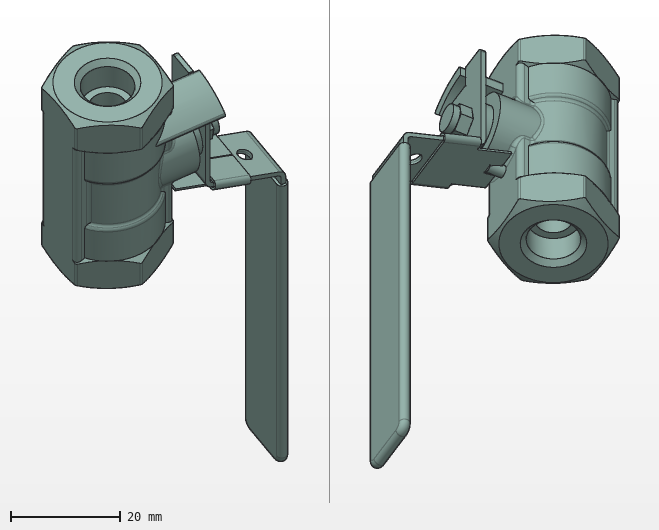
import cadquery as cq
import math

OVERALL_LENGTH = 115
TOLERANCE = 0.001

BODY_LENGTH = 44.2
ACROSS_FLATS = 21.0
HEX_EDGE_RADIUS = 0.6
HEX_TURN = 30
HEX_FACE_DIA = 20.0
HEX_LENGTH = 7.7
HEX_CHAMFER_ANGLE = 30
BARREL_DIA = 21.3
WAIST_DIA = 19.9
WAIST_HALF_LENGTH = 5.2
SHOULDER_LENGTH = 1.4
WEB_WIDTH = 12.4
WEB_LENGTH = 30.4
WEB_EDGE_RADIUS = 1.2
WEB_ROOT_RADIUS = 1.2
PORT_DIA = 10.0
PORT_DEPTH = 6.4
PORT_MOUTH_DIA = 12.2
BORE_DIA = 7.0

BOSS_DIA = 15.2
BOSS_TOP = 15.2
BOSS_ROOT_RADIUS = 0.9
COLLAR_DIA = 10.0
COLLAR_TOP = 17.4
NUT_CORNER_DIA = 6.5
NUT_TURN = 10.9
NUT_TOP = 20.9
STEM_DIA = 5.5
STEM_TOP = 22.3
STOP_OUTER_RADIUS = 15.1
STOP_INNER_RADIUS = 12.5
STOP_SWEEP = 41
STOP_ROOT = 3.5
STOP_TOP = 19.4
STOP_EDGE_RADIUS = 0.6
LUG_DIA = 2.4
LUG_Z = -8.4
LUG_TOP = 13.7

STRIP_THICKNESS = 1.0
STRIP_WIDTH = 12.0
STRIP_CORNER_RADIUS = 1.0
MOUNT_TOP = STOP_OUTER_RADIUS
SLOPE_ANGLE = 19
SLOPE_START_Z = -9.8
GRIP_LEG_Y = 34.0
BEND_RADIUS = 1.5
STOP_ROOM_BOTTOM = 10.4
HANG_HOLE_DIA = 3.0
HANG_HOLE_Y = 29.2

GRIP_WIDTH = 13.0
GRIP_THICKNESS = 2.2
GRIP_TOP = -18.2
GRIP_BOTTOM = BODY_LENGTH / 2 - OVERALL_LENGTH
GRIP_CORNER_RADIUS = 2.3

SLIDE_SHEET = 0.5
SLIDE_START_Y = 18.9
SLIDE_END_Y = 26.5
SLIDE_SEAM = 0.2
TONGUE_WIDTH = 10.0
TONGUE_END_Y = 11.7
LUG_CLEARANCE = 0.2

slope = math.radians(SLOPE_ANGLE)
mount_y = COLLAR_TOP + STRIP_THICKNESS / 2


def slope_z(y):
    """Height of the sloped leg's mid-plane at a given Y."""
    return SLOPE_START_Z - (y - mount_y) * math.tan(slope)


def y_cylinder(diameter, start, end, z=0):
    """Cylinder along +Y between two Y positions."""
    plane = cq.Workplane("XZ", origin=(0, start, z))
    return plane.circle(diameter / 2).extrude(start - end)


def make_hex_end():
    """Hexagonal spanner end at the top of the body, chamfered at both rims."""
    top = BODY_LENGTH / 2
    bottom = top - HEX_LENGTH
    face_radius = HEX_FACE_DIA / 2
    barrel_radius = BARREL_DIA / 2
    limit_radius = ACROSS_FLATS / math.sqrt(3)
    fall = math.tan(math.radians(HEX_CHAMFER_ANGLE))
    prism = (
        cq.Workplane("XY", origin=(0, 0, bottom))
        .polygon(6, ACROSS_FLATS, circumscribed=True)
        .extrude(HEX_LENGTH)
        .rotate((0, 0, 0), (0, 0, 1), HEX_TURN)
        .edges("|Z")
        .fillet(HEX_EDGE_RADIUS)
    )
    chamfers = (
        cq.Workplane("XZ")
        .moveTo(0, bottom)
        .lineTo(barrel_radius, bottom)
        .lineTo(limit_radius, bottom + (limit_radius - barrel_radius) * fall)
        .lineTo(limit_radius, top - (limit_radius - face_radius) * fall)
        .lineTo(face_radius, top)
        .lineTo(0, top)
        .close()
        .revolve(360, (0, 0, 0), (0, 1, 0))
    )
    return prism.intersect(chamfers)


def make_barrel():
    """Round middle of the body; S-curved shoulders lead down to the waist."""
    half_length = BODY_LENGTH / 2 - HEX_LENGTH
    barrel_radius = BARREL_DIA / 2
    waist_radius = WAIST_DIA / 2
    shoulder_end = WAIST_HALF_LENGTH + SHOULDER_LENGTH
    middle_radius = (barrel_radius + waist_radius) / 2
    middle_z = (WAIST_HALF_LENGTH + shoulder_end) / 2
    upper_half = (
        cq.Workplane("XZ")
        .lineTo(waist_radius, 0)
        .lineTo(waist_radius, WAIST_HALF_LENGTH)
        .tangentArcPoint((middle_radius, middle_z), relative=False)
        .tangentArcPoint((barrel_radius, shoulder_end), relative=False)
        .lineTo(barrel_radius, half_length)
        .lineTo(0, half_length)
        .close()
        .revolve(360, (0, 0, 0), (0, 1, 0))
    )
    between_flats = cq.Workplane("XY").box(BODY_LENGTH, ACROSS_FLATS, BODY_LENGTH)
    return upper_half.union(upper_half.mirror("XY")).intersect(between_flats)


def is_web_root(edge):
    """True for a straight edge where a web wall meets the round waist."""
    center = edge.Center()
    on_wall = math.isclose(abs(center.x), WEB_WIDTH / 2, abs_tol=TOLERANCE)
    on_waist = math.isclose(math.hypot(center.x, center.y), WAIST_DIA / 2, abs_tol=TOLERANCE)
    return on_wall and on_waist and edge.geomType() == "LINE"


def make_core():
    """Waist cylinder with the flat-faced web that joins the front and rear hexagon flats."""
    waist = cq.Workplane("XY").circle(WAIST_DIA / 2).extrude(WEB_LENGTH / 2, both=True)
    web = cq.Workplane("XY").box(WEB_WIDTH, ACROSS_FLATS, WEB_LENGTH)
    web = web.edges("|Z").fillet(WEB_EDGE_RADIUS)
    return waist.union(web).edges().filter(is_web_root).fillet(WEB_ROOT_RADIUS)


def make_stop():
    """Curved stop wall, concentric with the stem."""
    end = math.radians(STOP_SWEEP)
    middle = end / 2

    def at(radius, angle):
        return (radius * math.sin(angle), radius * math.cos(angle))

    wall = (
        cq.Workplane("XZ", origin=(0, STOP_ROOT, 0))
        .moveTo(0, STOP_INNER_RADIUS)
        .lineTo(0, STOP_OUTER_RADIUS)
        .threePointArc(at(STOP_OUTER_RADIUS, middle), at(STOP_OUTER_RADIUS, end))
        .lineTo(*at(STOP_INNER_RADIUS, end))
        .threePointArc(at(STOP_INNER_RADIUS, middle), (0, STOP_INNER_RADIUS))
        .close()
        .extrude(STOP_ROOT - STOP_TOP)
    )
    wall_middle = (STOP_ROOT + STOP_TOP) / 2
    for angle in (0, end):
        x, z = at(STOP_OUTER_RADIUS, angle)
        outer_edge = cq.selectors.NearestToPointSelector((x, wall_middle, z))
        wall = wall.edges("|Y").edges(outer_edge).fillet(STOP_EDGE_RADIUS)
    return wall


def make_ports():
    """Through bore with a wider, chamfered port at each end."""
    end = BODY_LENGTH / 2
    port_radius = PORT_DIA / 2
    mouth_radius = PORT_MOUTH_DIA / 2
    floor = end - PORT_DEPTH
    mouth_floor = end - (mouth_radius - port_radius)
    ports = cq.Workplane("XY").circle(BORE_DIA / 2).extrude(end, both=True)
    port = (
        cq.Workplane("XZ")
        .moveTo(0, floor)
        .lineTo(port_radius, floor)
        .lineTo(port_radius, mouth_floor)
        .lineTo(mouth_radius, end)
        .lineTo(0, end)
        .close()
        .revolve(360, (0, 0, 0), (0, 1, 0))
    )
    return ports.union(port).union(port.mirror("XY"))


def make_nut():
    """Hexagonal nut holding the handle on the stem."""
    start = COLLAR_TOP + STRIP_THICKNESS
    nut = (
        cq.Workplane("XZ", origin=(0, start, 0))
        .polygon(6, NUT_CORNER_DIA)
        .extrude(start - NUT_TOP)
    )
    return nut.rotate((0, 0, 0), (0, 1, 0), 90 + NUT_TURN)


def is_boss_root(edge):
    """True for an edge that runs around the boss where it leaves the barrel and web."""
    points = (edge.startPoint(), edge.positionAt(0.5), edge.endPoint())
    on_boss = all(
        math.isclose(math.hypot(point.x, point.z), BOSS_DIA / 2, abs_tol=TOLERANCE)
        for point in points
    )
    return on_boss and all(point.y < ACROSS_FLATS / 2 + TOLERANCE for point in points)


def make_body():
    """Valve body with its stem, nut, stop wall and lug as one solid."""
    hex_end = make_hex_end()
    body = make_core().union(make_barrel())
    body = body.union(y_cylinder(BOSS_DIA, 0, BOSS_TOP))
    body = body.edges().filter(is_boss_root).fillet(BOSS_ROOT_RADIUS)
    body = body.union(hex_end).union(hex_end.mirror("XY"))
    body = body.union(make_stop())
    body = body.union(y_cylinder(LUG_DIA, 0, LUG_TOP, LUG_Z))
    body = body.union(y_cylinder(COLLAR_DIA, 0, COLLAR_TOP))
    body = body.union(y_cylinder(STEM_DIA, 0, STEM_TOP))
    body = body.union(make_nut())
    return body.cut(make_ports())


def slope_plane(y):
    """Plane square to the sloped leg; local x is X, local y is the leg's upper normal."""
    uphill = (0, -math.cos(slope), math.sin(slope))
    return cq.Plane(origin=(0, y, slope_z(y)), xDir=(1, 0, 0), normal=uphill)


def make_handle():
    """Strip bent twice: mount leg on the stem, sloped leg, then the gripped leg."""
    half = STRIP_THICKNESS / 2
    rise = half / math.cos(slope)
    leg_end = GRIP_BOTTOM + GRIP_CORNER_RADIUS
    inner_upper = (mount_y + half, slope_z(mount_y + half) + rise)
    outer_upper = (mount_y - half, slope_z(mount_y - half) - rise)
    outer_lower = (GRIP_LEG_Y + half, slope_z(GRIP_LEG_Y + half) + rise)
    inner_lower = (GRIP_LEG_Y - half, slope_z(GRIP_LEG_Y - half) - rise)
    strip = (
        cq.Workplane("YZ")
        .polyline([
            (mount_y + half, MOUNT_TOP),
            inner_upper,
            outer_lower,
            (GRIP_LEG_Y + half, leg_end),
            (GRIP_LEG_Y - half, leg_end),
            inner_lower,
            outer_upper,
            (mount_y - half, MOUNT_TOP),
        ])
        .close()
        .extrude(STRIP_WIDTH / 2, both=True)
    )
    inside = BEND_RADIUS - half
    outside = BEND_RADIUS + half
    for corner, radius in (
        (inner_upper, inside),
        (inner_lower, inside),
        (outer_upper, outside),
        (outer_lower, outside),
    ):
        strip = strip.edges(cq.selectors.NearestToPointSelector((0, *corner))).fillet(radius)
    strip = strip.edges("|Y and >Z").edges("<X").fillet(STRIP_CORNER_RADIUS)
    stop_room = (
        cq.Workplane("XZ", origin=(0, COLLAR_TOP, 0))
        .moveTo(0, STOP_ROOM_BOTTOM)
        .rect(STRIP_WIDTH, MOUNT_TOP, centered=False)
        .extrude(-STRIP_THICKNESS)
    )
    strip = strip.cut(stop_room).cut(y_cylinder(STEM_DIA, 0, STEM_TOP))
    hole = cq.Workplane("XY").circle(HANG_HOLE_DIA / 2).extrude(STRIP_THICKNESS, both=True)
    hole = hole.rotate((0, 0, 0), (1, 0, 0), -SLOPE_ANGLE)
    hole = hole.translate((0, HANG_HOLE_Y, slope_z(HANG_HOLE_Y)))
    return strip.cut(hole)


def make_grip(handle):
    """Flat sleeve with fully rounded edges and rounded lower corners, open for the handle."""
    edge_radius = GRIP_THICKNESS / 2
    side = GRIP_WIDTH / 2 - edge_radius
    bottom = GRIP_BOTTOM + edge_radius
    corner = GRIP_CORNER_RADIUS - edge_radius
    diagonal = corner * (1 - math.sqrt(0.5))
    rim_path = (
        cq.Workplane("XZ", origin=(0, GRIP_LEG_Y, 0))
        .moveTo(-side, GRIP_TOP)
        .lineTo(-side, bottom + corner)
        .threePointArc((-side + diagonal, bottom + diagonal), (-side + corner, bottom))
        .lineTo(side - corner, bottom)
        .threePointArc((side - diagonal, bottom + diagonal), (side, bottom + corner))
        .lineTo(side, GRIP_TOP)
    )
    rim = (
        cq.Workplane("XY", origin=(-side, GRIP_LEG_Y, GRIP_TOP))
        .circle(edge_radius)
        .sweep(rim_path)
    )
    flat = (
        cq.Workplane("XY", origin=(0, GRIP_LEG_Y, bottom))
        .box(2 * side, GRIP_THICKNESS, GRIP_TOP - bottom, centered=(True, True, False))
        .edges("|Y and <Z")
        .fillet(corner)
    )
    return flat.union(rim).cut(handle)


def make_slide():
    """Sheet wrapped around the sloped leg, with a seam on top and a slotted tongue below."""
    plane = slope_plane(SLIDE_END_Y)
    length = (SLIDE_END_Y - SLIDE_START_Y) / math.cos(slope)
    tongue_length = (SLIDE_END_Y - TONGUE_END_Y) / math.cos(slope)
    outer = STRIP_THICKNESS + 2 * SLIDE_SHEET

    def round_sided_bar(thickness):
        return cq.Workplane(plane).slot2D(STRIP_WIDTH + thickness, thickness).extrude(length)

    sleeve = round_sided_bar(outer).cut(round_sided_bar(STRIP_THICKNESS))
    seam = cq.Workplane(plane).center(0, outer / 2).rect(SLIDE_SEAM, outer).extrude(length)
    tongue = (
        cq.Workplane(plane)
        .center(0, -(STRIP_THICKNESS + SLIDE_SHEET) / 2)
        .rect(TONGUE_WIDTH, SLIDE_SHEET)
        .extrude(tongue_length)
    )
    lug_room = y_cylinder(LUG_DIA + 2 * LUG_CLEARANCE, 0, LUG_TOP + LUG_CLEARANCE, LUG_Z)
    return sleeve.cut(seam).union(tongue).cut(lug_room)


body = make_body()
handle = make_handle()
grip = make_grip(handle)
slide = make_slide()
result = cq.Compound.makeCompound([body.val(), handle.val(), grip.val(), slide.val()])